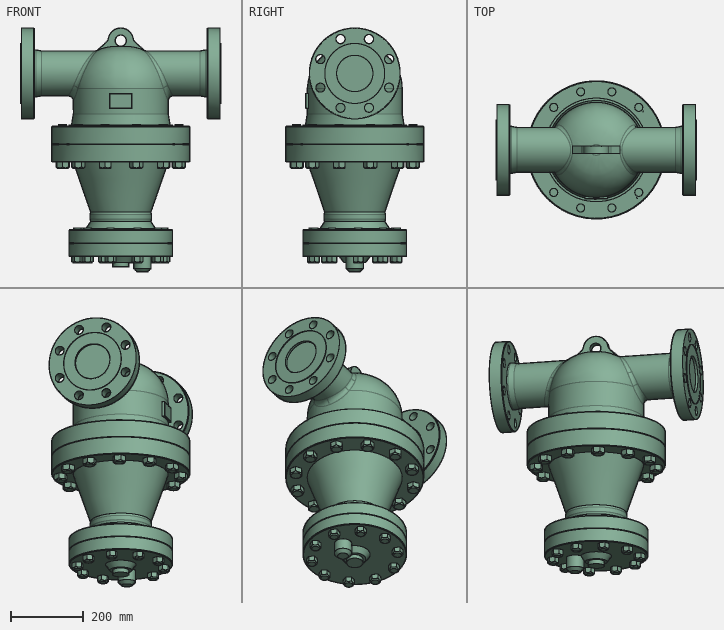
import cadquery as cq
import math

flange_span = 550.0
nozzle_flange_diameter = 250.0
nozzle_flange_thickness = 35.5
nozzle_face_diameter = 165.0
nozzle_face_height = 2.0
nozzle_bore_diameter = 100.0
nozzle_bore_depth = 7.0
nozzle_hole_diameter = 25.0
nozzle_hole_circle = 204.5
nozzle_hole_count = 8
pipe_diameter = 124.0
neck_diameter = 130.0
neck_length = 4.0
neck_taper_length = 15.5
overall_height = 670.0
nozzle_height = overall_height - nozzle_flange_diameter / 2
nozzle_blend_radius = 13.5

head_diameter = 261.0
dome_base = 504.0
dome_flat_diameter = 30.0
dome_corner_radius = (head_diameter - dome_flat_diameter) / 2
skirt_top = 434.0
skirt_diameter = 273.0

upper_flange_diameter = 380.0
upper_flange_top = 400.0
upper_flange_bottom = 301.5
upper_step_diameter = 285.0
upper_step_height = 3.5
upper_bolt_circle = 330.0
upper_bolt_count = 12
upper_bolt_start = 15.0
upper_stud_diameter = 22.0
upper_nut_width = 31.5
upper_nut_height = 18.0
upper_nut_first_turn = 30.0
upper_nut_turn_step = 30.0

cone_top_diameter = 261.0
throat_diameter = 166.0
throat_top = 164.0
throat_bottom = 138.0
throat_band_diameter = 169.5
throat_band_taper = 7.0
hub_diameter = 195.5

lower_flange_diameter = 285.5
lower_flange_top = 116.0
lower_flange_bottom = 41.5
lower_step_diameter = 204.5
lower_step_height = 3.0
lower_bolt_circle = 239.0
lower_bolt_count = 10
lower_bolt_start = 4.5
lower_stud_diameter = 20.0
lower_nut_width = 27.0
lower_nut_height = 17.5
lower_nut_first_turn = 0.0
lower_nut_turn_step = 0.0

flange_gap = 2.0
flange_chamfer = 2.0
stud_protrusion = 5.0
nut_chamfer = 5.0

boss_diameter = 84.5
boss_tip_diameter = 60.0
boss_height = 16.0
plug_diameter = 45.0
plug_bottom = 13.5
drain_diameter = 48.0
drain_offset = 59.5
drain_chamfer = 9.5

lug_thickness = 20.0
lug_radius = 35.0
lug_blend_radius = 20.0
lug_hole_diameter = 30.0
lug_foot_width = 130.0
lug_foot_height = 608.5
lug_root_height = 549.5

plate_width = 63.0
plate_height = 41.5
plate_center_height = 470.0
plate_depth = 65.5
plate_protrusion = 5.0
plate_chamfer = 1.5


def disc(diameter, bottom, top):
    """Upright cylinder on the Z axis."""
    return cq.Workplane("XY").workplane(offset=bottom).circle(diameter / 2).extrude(top - bottom)


def cone(bottom_diameter, top_diameter, bottom, top):
    """Upright truncated cone on the Z axis."""
    profile = [(0, bottom), (bottom_diameter / 2, bottom), (top_diameter / 2, top), (0, top)]
    return cq.Workplane("XZ").polyline(profile).close().revolve(360, (0, 0), (0, 1))


def make_head():
    dome_top = dome_base + dome_corner_radius
    arc_reach = dome_corner_radius * math.sqrt(0.5)
    return (
        cq.Workplane("XZ")
        .moveTo(0, upper_flange_top)
        .lineTo(skirt_diameter / 2, upper_flange_top)
        .lineTo(head_diameter / 2, skirt_top)
        .lineTo(head_diameter / 2, dome_base)
        .threePointArc(
            (dome_flat_diameter / 2 + arc_reach, dome_base + arc_reach),
            (dome_flat_diameter / 2, dome_top),
        )
        .lineTo(0, dome_top)
        .close()
        .revolve(360, (0, 0), (0, 1))
    )


def make_pipes():
    pipe_half_length = flange_span / 2 - nozzle_face_height - nozzle_flange_thickness
    return (
        cq.Workplane("YZ", origin=(-pipe_half_length, 0, nozzle_height))
        .circle(pipe_diameter / 2)
        .extrude(2 * pipe_half_length)
    )


def make_nozzle_end():
    """Flange and neck at the -X end."""
    face_x = -flange_span / 2
    flange_front = face_x + nozzle_face_height
    flange_back = flange_front + nozzle_flange_thickness
    neck_end = flange_back + neck_length
    taper_end = neck_end + neck_taper_length
    profile = [
        (face_x, 0),
        (face_x, nozzle_face_diameter / 2),
        (flange_front, nozzle_face_diameter / 2),
        (flange_front, nozzle_flange_diameter / 2),
        (flange_back - flange_chamfer, nozzle_flange_diameter / 2),
        (flange_back, nozzle_flange_diameter / 2 - flange_chamfer),
        (flange_back, neck_diameter / 2),
        (neck_end, neck_diameter / 2),
        (taper_end, pipe_diameter / 2),
        (taper_end, 0),
    ]
    body = (
        cq.Workplane("XZ", origin=(0, 0, nozzle_height))
        .polyline(profile)
        .close()
        .revolve(360, (0, 0), (1, 0))
    )
    face = cq.Workplane("YZ", origin=(face_x, 0, nozzle_height))
    bore = face.circle(nozzle_bore_diameter / 2).extrude(nozzle_bore_depth)
    half_pitch = 180 / nozzle_hole_count
    holes = (
        face.polarArray(nozzle_hole_circle / 2, half_pitch, 360, nozzle_hole_count)
        .circle(nozzle_hole_diameter / 2)
        .extrude(nozzle_face_height + nozzle_flange_thickness)
    )
    return body.cut(bore).cut(holes)


def make_lug():
    """Lifting eye standing on the dome, across the Y axis."""
    eye_height = overall_height - lug_radius
    start = cq.Workplane("XZ", origin=(0, lug_thickness / 2, 0))
    web_profile = [
        (-lug_foot_width / 2, lug_root_height),
        (-lug_foot_width / 2, lug_foot_height),
        (-lug_radius, eye_height),
        (lug_radius, eye_height),
        (lug_foot_width / 2, lug_foot_height),
        (lug_foot_width / 2, lug_root_height),
    ]
    web = start.polyline(web_profile).close().extrude(lug_thickness)
    eye = start.center(0, eye_height).circle(lug_radius).extrude(lug_thickness)
    hole = start.center(0, eye_height).circle(lug_hole_diameter / 2).extrude(lug_thickness)
    lug = web.union(eye)
    shoulders = [
        edge
        for edge in lug.edges("|Y").vals()
        if math.isclose(abs(edge.Center().x), lug_radius)
    ]
    return lug.newObject(shoulders).fillet(lug_blend_radius).cut(hole)


def make_name_plate():
    front_y = -head_diameter / 2 - plate_protrusion
    plate = cq.Workplane("XY").box(plate_width, plate_depth, plate_height)
    plate = plate.faces("<Y").edges().chamfer(plate_chamfer)
    return plate.translate((0, front_y + plate_depth / 2, plate_center_height))


def make_flange_pair(diameter, bottom, top, joint_diameter):
    """Two flanges with chamfered outer edges, kept apart by the joint faces between them."""
    middle = (bottom + top) / 2
    pair = disc(diameter, bottom, top).edges().chamfer(flange_chamfer)
    gap = disc(diameter, middle - flange_gap / 2, middle + flange_gap / 2)
    return pair.cut(gap.cut(disc(joint_diameter, bottom, top)))


def make_bolt(stud_diameter, nut_width, nut_height, flange_bottom, flange_top):
    """Stud on the Z axis that stands out of the flange top, with a hexagon nut below.

    The nut has a corner toward +X, and its bottom corners are chamfered.
    """
    corner_diameter = nut_width / math.cos(math.pi / 6)
    nut_bottom = flange_bottom - nut_height
    nut = (
        cq.Workplane("XY", origin=(0, 0, nut_bottom))
        .polygon(6, corner_diameter)
        .extrude(nut_height)
    )
    nut_blank = disc(corner_diameter, nut_bottom, flange_bottom).faces("<Z").chamfer(nut_chamfer)
    stud = disc(stud_diameter, nut_bottom, flange_top + stud_protrusion)
    return nut.intersect(nut_blank).union(stud)


def make_bolt_ring(bolt, circle, count, start, first_turn, turn_step):
    """Bolts evenly spaced on a circle; each is turned by turn_step more than the one before."""
    ring = cq.Workplane("XY")
    for index in range(count):
        angle = math.radians(start + index * 360 / count)
        place = (circle / 2 * math.cos(angle), circle / 2 * math.sin(angle), 0)
        turned_bolt = bolt.rotate((0, 0, 0), (0, 0, 1), first_turn + index * turn_step)
        ring.add(turned_bolt.translate(place).val())
    return ring


def make_bottom_connections():
    boss_bottom = lower_flange_bottom - boss_height
    boss = cone(boss_tip_diameter, boss_diameter, boss_bottom, lower_flange_bottom)
    plug = disc(plug_diameter, plug_bottom, lower_flange_bottom)
    drain = disc(drain_diameter, 0, lower_flange_bottom).faces("<Z").chamfer(drain_chamfer)
    return boss.union(plug).union(drain.translate((drain_offset, 0, 0)))


head = make_head().union(make_pipes())
joint_edges = [edge for edge in head.edges().vals() if edge.geomType() == "BSPLINE"]
head = head.newObject(joint_edges).fillet(nozzle_blend_radius)

nozzle_end = make_nozzle_end()
result = head.union(nozzle_end).union(nozzle_end.mirror("YZ"))

result = result.union(make_lug()).union(make_name_plate())

result = result.union(cone(throat_diameter, cone_top_diameter, throat_top, upper_flange_bottom))
band_top = throat_top - throat_band_taper
band_bottom = throat_bottom + throat_band_taper
result = result.union(cone(throat_band_diameter, throat_diameter, band_top, throat_top))
result = result.union(disc(throat_band_diameter, band_bottom, band_top))
result = result.union(cone(throat_diameter, throat_band_diameter, throat_bottom, band_bottom))
result = result.union(cone(hub_diameter, throat_diameter, lower_flange_top, throat_bottom))

result = result.union(
    make_flange_pair(upper_flange_diameter, upper_flange_bottom, upper_flange_top, upper_step_diameter)
)
result = result.union(disc(upper_step_diameter, upper_flange_top, upper_flange_top + upper_step_height))
result = result.union(
    make_flange_pair(lower_flange_diameter, lower_flange_bottom, lower_flange_top, lower_step_diameter)
)
result = result.union(disc(lower_step_diameter, lower_flange_top, lower_flange_top + lower_step_height))

upper_bolt = make_bolt(
    upper_stud_diameter, upper_nut_width, upper_nut_height, upper_flange_bottom, upper_flange_top
)
result = result.union(
    make_bolt_ring(upper_bolt, upper_bolt_circle, upper_bolt_count, upper_bolt_start,
                   upper_nut_first_turn, upper_nut_turn_step)
)
lower_bolt = make_bolt(
    lower_stud_diameter, lower_nut_width, lower_nut_height, lower_flange_bottom, lower_flange_top
)
result = result.union(
    make_bolt_ring(lower_bolt, lower_bolt_circle, lower_bolt_count, lower_bolt_start,
                   lower_nut_first_turn, lower_nut_turn_step)
)

result = result.union(make_bottom_connections())